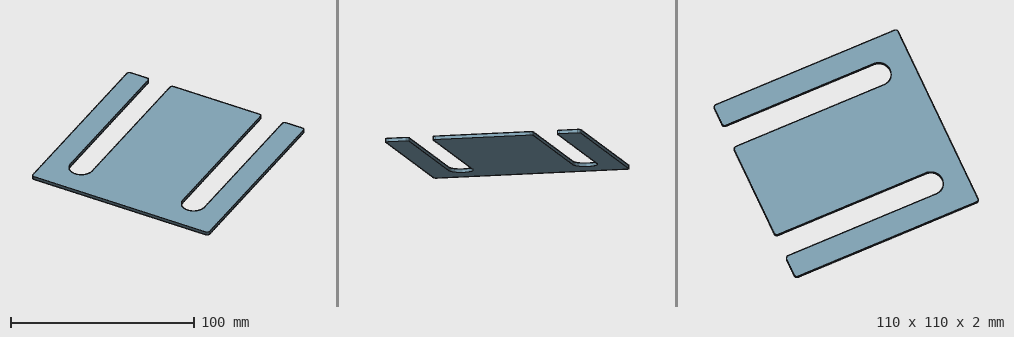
import cadquery as cq

side = 110.0
thickness = 2.0
corner_radius = 1.5

slot_width = 13.5
slot_offset = 35.0
slot_floor = 13.2

slot_end_y = -side / 2 + slot_floor + slot_width / 2
slot_length = side / 2 - slot_end_y


def open_slot(center_x):
    """Slot with a round inner end, running out through the +Y side."""
    straight = (
        cq.Workplane("XY")
        .center(center_x, slot_end_y + slot_length / 2)
        .rect(slot_width, slot_length)
        .extrude(thickness)
    )
    round_end = (
        cq.Workplane("XY")
        .center(center_x, slot_end_y)
        .circle(slot_width / 2)
        .extrude(thickness)
    )
    return straight.union(round_end)


plate = cq.Workplane("XY").box(side, side, thickness, centered=(True, True, False))
for center_x in (-slot_offset, slot_offset):
    plate = plate.cut(open_slot(center_x))

outer_corners = plate.edges("|Z").edges("<Y or >Y")
result = outer_corners.fillet(corner_radius)